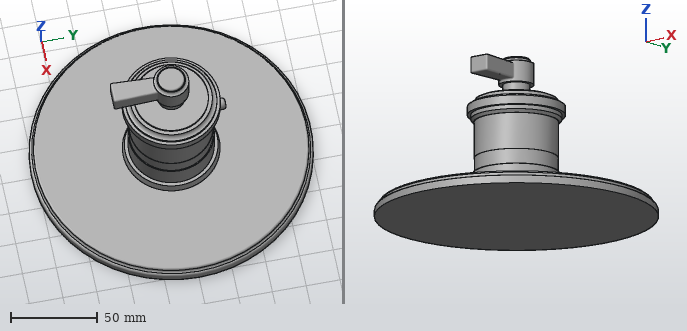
import cadquery as cq
import math

plate_radius = 82.5
plate_lip_z = 3.5
plate_lip_radius = 81.0
plate_cove_z = 5.0
plate_step_radius = 80.0
plate_step_z = 7.0
plate_face_radius = 78.6
plate_top = 8.0

flange_foot_radius = 28.4
flange_top_radius = 27.2
flange_top = 11.9

base_radius = 25.1
base_top = 26.0
band_radius = 24.5
band_top = 34.8
sleeve_radius = 24.6
sleeve_top = 56.3

collar_foot_radius = 25.0
collar_radius = 26.5
collar_cone_top = 58.1
rim_bottom = 60.6
rim_radius = 28.5
rim_top = 65.7
collar_cove_z = 67.0
collar_neck_radius = 24.0
collar_shoulder_z = 69.7
collar_face_radius = 21.6
collar_top = 70.7

stem_radius = 8.0
hub_bottom = 78.6
hub_radius = 10.2
hub_top = 91.1
cap_cove_radius = 9.9
cap_neck_radius = 8.3
cap_shoulder_z = 93.1
cap_round_radius = 7.8
cap_face_radius = 7.0
total_height = 94.1

lever_tip_y = -34.8
lever_root_y = -5.0
lever_root_width = 10.4
lever_tip_width = 12.7
lever_root_height = 9.2
lever_tip_height = 9.9
lever_center_z = 85.0
lever_edge_round = 1.0
lever_root_fillet = 0.8

pin_radius = 3.3
pin_tip_y = 32.0
pin_z = 51.5
pin_tip_round = 1.7

quarter_bulge = (math.sqrt(2) - 1) / 2


def arc_middle(start, end, bulge):
    """Middle point of an arc that climbs inwards from start to end.

    The bulge is the arc height divided by the chord length: positive is
    rounded outwards, negative is a cove.
    """
    run_r = end[0] - start[0]
    run_z = end[1] - start[1]
    return (
        (start[0] + end[0]) / 2 + bulge * run_z,
        (start[1] + end[1]) / 2 - bulge * run_r,
    )


def make_turned_body():
    """Plate, body, collar, stem and hub as one revolved (radius, z) outline."""
    lip_start = (plate_radius, plate_lip_z)
    lip_end = (plate_lip_radius, plate_cove_z)
    plate_step = (plate_step_radius, plate_step_z)
    plate_face = (plate_face_radius, plate_top)
    collar_cove_start = (collar_radius, collar_cove_z)
    collar_cove_end = (collar_neck_radius, collar_shoulder_z)
    cap_cove_start = (cap_cove_radius, hub_top)
    cap_cove_end = (cap_neck_radius, cap_shoulder_z)
    cap_round_start = (cap_round_radius, cap_shoulder_z)
    cap_face = (cap_face_radius, total_height)
    return (
        cq.Workplane("XZ")
        .lineTo(plate_radius, 0)
        .lineTo(*lip_start)
        .threePointArc(arc_middle(lip_start, lip_end, quarter_bulge), lip_end)
        .threePointArc(arc_middle(lip_end, plate_step, -quarter_bulge), plate_step)
        .threePointArc(arc_middle(plate_step, plate_face, quarter_bulge), plate_face)
        .lineTo(flange_foot_radius, plate_top)
        .lineTo(flange_top_radius, flange_top)
        .lineTo(base_radius, flange_top)
        .lineTo(base_radius, base_top)
        .lineTo(band_radius, base_top)
        .lineTo(band_radius, band_top)
        .lineTo(sleeve_radius, band_top)
        .lineTo(sleeve_radius, sleeve_top)
        .lineTo(collar_foot_radius, sleeve_top)
        .lineTo(collar_radius, collar_cone_top)
        .lineTo(collar_radius, rim_bottom)
        .lineTo(rim_radius, rim_bottom)
        .lineTo(rim_radius, rim_top)
        .lineTo(collar_radius, rim_top)
        .lineTo(*collar_cove_start)
        .threePointArc(arc_middle(collar_cove_start, collar_cove_end, -quarter_bulge), collar_cove_end)
        .lineTo(collar_face_radius, collar_shoulder_z)
        .lineTo(collar_face_radius, collar_top)
        .lineTo(stem_radius, collar_top)
        .lineTo(stem_radius, hub_bottom)
        .lineTo(hub_radius, hub_bottom)
        .lineTo(hub_radius, hub_top)
        .lineTo(*cap_cove_start)
        .threePointArc(arc_middle(cap_cove_start, cap_cove_end, -quarter_bulge), cap_cove_end)
        .lineTo(*cap_round_start)
        .threePointArc(arc_middle(cap_round_start, cap_face, quarter_bulge), cap_face)
        .lineTo(0, total_height)
        .close()
        .revolve(360, (0, 0, 0), (0, 1, 0))
    )


def make_lever():
    """Tapered bar with rounded long edges and a rounded tip."""
    return (
        cq.Workplane("XZ", origin=(0, lever_root_y, lever_center_z))
        .rect(lever_root_width, lever_root_height)
        .workplane(offset=lever_root_y - lever_tip_y)
        .rect(lever_tip_width, lever_tip_height)
        .loft()
        .edges("not >Y")
        .fillet(lever_edge_round)
    )


def make_pin():
    """Round pin from the body axis outwards, with a rounded tip."""
    return (
        cq.Workplane("XZ", origin=(0, 0, pin_z))
        .circle(pin_radius)
        .extrude(-pin_tip_y)
        .faces(">Y")
        .edges()
        .fillet(pin_tip_round)
    )


def fillet_lever_root(part):
    """Blend the lever into the hub along the seam on the hub's cylinder.

    The box just encloses the seam and leaves out the hub's rim circles and the
    lever's long edges, which are not wholly inside it.
    """
    margin = 0.2
    seam_box = cq.selectors.BoxSelector(
        (-lever_root_width, -hub_radius - margin, hub_bottom + margin),
        (lever_root_width, lever_root_y, hub_top - margin),
        boundingbox=True,
    )
    return part.edges(seam_box).fillet(lever_root_fillet)


body_with_lever = make_turned_body().union(make_lever())
result = fillet_lever_root(body_with_lever).union(make_pin())